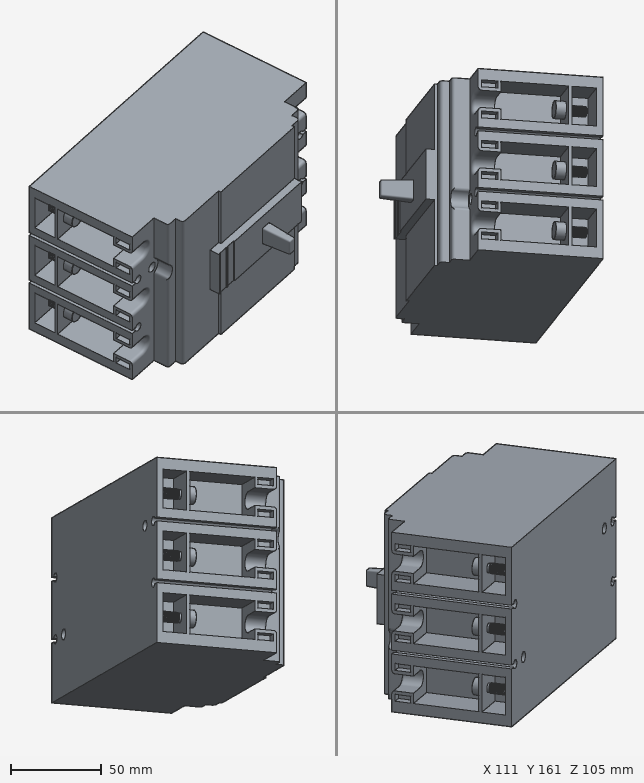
import cadquery as cq

BODY_DEPTH = 71.0
BODY_LENGTH = 161.0
BODY_WIDTH = 105.0
POLE_COUNT = 3
POLE_PITCH = BODY_WIDTH / POLE_COUNT
SIDES = (-1, 1)

LOWER_SHOULDER_TOP = 81.0
LOWER_SHOULDER_LENGTH = 121.0
LOWER_SHOULDER_FILLET = 1.6
UPPER_SHOULDER_TOP = 86.2
UPPER_SHOULDER_LENGTH = 107.6
UPPER_SHOULDER_FILLET = 2.0

STRIP_TOP = 87.8
STRIP_START = -21.0
STRIP_END = 47.0
PANEL_TOP = 92.7
PANEL_START = -29.0
PANEL_WIDTH = 29.0
NOTCH_DEPTH = 0.6
NOTCH_LENGTH = 6.1
NOTCH_STARTS = (-28.2, -21.1)

TOGGLE_TIP = 111.0
TOGGLE_Y = 14.0
TOGGLE_THICKNESS = 6.8
TOGGLE_WIDTH = 11.6
TOGGLE_TAPER = 3.0
TOGGLE_FILLET = 1.0

POCKET_DEPTH = 20.0
POCKET_WIDTH = 22.0
REAR_POCKET_START = 3.8
PLATE_BACK = 17.6
PLATE_FRONT = 19.6
FRONT_POCKET_END = 58.1

SCREW_INSET = 10.2
CHANNEL_DIAMETER = 10.0
CHANNEL_FILLET = 2.0

WINDOW_START = 59.9
WINDOW_END = 69.0
WINDOW_WIDTH = 4.0
WINDOW_DEPTH = 5.0
WINDOW_OFFSET = (POCKET_WIDTH - WINDOW_WIDTH) / 2

GROOVE_WIDTH = 2.2
KEYHOLE_DIAMETER = 5.0
KEYHOLE_INSET = 5.4
GROOVE_Z = POLE_PITCH / 2

MOUNTING_DIAMETER = 6.0
MOUNTING_INSET = 18.2
RELIEF_RADIUS = 5.5
RELIEF_FILLET = 2.0

SCREW_TIP = 7.4
THREAD_END = 16.4
THREAD_RADIUS = 3.0
ROOT_RADIUS = 2.5
SHANK_RADIUS = 2.7
THREAD_RIDGES = 10
HEAD_RADIUS = 5.0
HEAD_HEIGHT = 6.0
HEAD_CHAMFER = 0.2

PICK_MARGIN = 0.5


def block(x_range, y_range, z_range):
    """A box between two limits on each axis."""
    limits = (x_range, y_range, z_range)
    sizes = [max(pair) - min(pair) for pair in limits]
    corner = tuple(min(pair) for pair in limits)
    return cq.Workplane("XY").box(*sizes, centered=False).translate(corner)


def centred(width, middle=0.0):
    """The limits of a span of this width about a middle."""
    return (middle - width / 2, middle + width / 2)


def rod(x_range, radius, y, z):
    """A cylinder along X."""
    start, end = x_range
    return cq.Workplane("YZ", origin=(start, y, z)).circle(radius).extrude(end - start)


def inset(side, distance):
    """The Y of a point this far inside a terminal end."""
    return side * (BODY_LENGTH / 2 - distance)


def from_end(side, depth):
    """The Y limits of a cut this deep into a terminal end."""
    return (inset(side, 0), inset(side, depth))


POLE_ZS = [(index - (POLE_COUNT - 1) / 2) * POLE_PITCH for index in range(POLE_COUNT)]
FULL_WIDTH = centred(BODY_WIDTH)


def relief_cut(side, relief_z):
    """The space in front of a shoulder wall and the round relief that blends into it."""
    relief_x = (BODY_DEPTH, LOWER_SHOULDER_TOP)
    wall_y = side * LOWER_SHOULDER_LENGTH / 2
    outside = block(relief_x, (wall_y, inset(side, 0)), FULL_WIDTH)
    bore = rod(relief_x, RELIEF_RADIUS, inset(side, MOUNTING_INSET), relief_z)
    corners = cq.selectors.BoxSelector(
        (BODY_DEPTH, wall_y - PICK_MARGIN, relief_z - RELIEF_RADIUS),
        (LOWER_SHOULDER_TOP, wall_y + PICK_MARGIN, relief_z + RELIEF_RADIUS),
    )
    return outside.union(bore).edges("|X").edges(corners).fillet(RELIEF_FILLET)


def lower_shoulder():
    shoulder = block((BODY_DEPTH, LOWER_SHOULDER_TOP), centred(LOWER_SHOULDER_LENGTH), FULL_WIDTH)
    shoulder = shoulder.edges(">X and |Z").fillet(LOWER_SHOULDER_FILLET)
    for side in SIDES:
        shoulder = shoulder.cut(relief_cut(side, -side * GROOVE_Z))
    return shoulder


def upper_shoulder():
    shoulder = block((BODY_DEPTH, UPPER_SHOULDER_TOP), centred(UPPER_SHOULDER_LENGTH), FULL_WIDTH)
    return shoulder.edges(">X and |Z").fillet(UPPER_SHOULDER_FILLET)


def front_panel():
    strip = block((BODY_DEPTH, STRIP_TOP), (STRIP_START, STRIP_END), FULL_WIDTH)
    panel = block((BODY_DEPTH, PANEL_TOP), (PANEL_START, STRIP_END), centred(PANEL_WIDTH))
    for start in NOTCH_STARTS:
        panel = panel.cut(
            block((PANEL_TOP - NOTCH_DEPTH, PANEL_TOP), (start, start + NOTCH_LENGTH), centred(PANEL_WIDTH))
        )
    return strip.union(panel)


def toggle():
    lever = (
        cq.Workplane("YZ", origin=(PANEL_TOP, TOGGLE_Y, 0))
        .rect(TOGGLE_THICKNESS, TOGGLE_WIDTH)
        .extrude(TOGGLE_TIP - PANEL_TOP, taper=TOGGLE_TAPER)
    )
    return lever.edges("not <X").fillet(TOGGLE_FILLET)


def terminal_cuts(side, pole_z):
    """The two chambers, the driver channel and the windows of one terminal."""
    pocket_y = from_end(side, POCKET_DEPTH)
    pocket_z = centred(POCKET_WIDTH, pole_z)
    channel_x = (PLATE_FRONT, BODY_DEPTH)
    cuts = block((REAR_POCKET_START, PLATE_BACK), pocket_y, pocket_z)
    cuts = cuts.union(block((PLATE_FRONT, FRONT_POCKET_END), pocket_y, pocket_z))
    cuts = cuts.union(block(channel_x, from_end(side, SCREW_INSET), centred(CHANNEL_DIAMETER, pole_z)))
    cuts = cuts.union(rod(channel_x, CHANNEL_DIAMETER / 2, inset(side, SCREW_INSET), pole_z))
    for offset in (-WINDOW_OFFSET, WINDOW_OFFSET):
        window_z = centred(WINDOW_WIDTH, pole_z + offset)
        cuts = cuts.union(block((WINDOW_START, WINDOW_END), from_end(side, WINDOW_DEPTH), window_z))
    return cuts


def round_channel_mouth(body, side, pole_z):
    """Fillets the U-shaped edge where a driver channel meets the front face."""
    near, far = sorted(from_end(side, POCKET_DEPTH))
    mouth = cq.selectors.BoxSelector(
        (BODY_DEPTH - PICK_MARGIN, near, pole_z - POCKET_WIDTH / 2),
        (BODY_DEPTH + PICK_MARGIN, far, pole_z + POCKET_WIDTH / 2),
    )
    return body.edges(mouth).fillet(CHANNEL_FILLET)


def groove_cut(side, groove_z):
    slot = block((0, BODY_DEPTH), from_end(side, KEYHOLE_INSET), centred(GROOVE_WIDTH, groove_z))
    return slot.union(rod((0, BODY_DEPTH), KEYHOLE_DIAMETER / 2, inset(side, KEYHOLE_INSET), groove_z))


def make_housing():
    body = block((0, BODY_DEPTH), centred(BODY_LENGTH), FULL_WIDTH)
    for side in SIDES:
        for pole_z in POLE_ZS:
            body = body.cut(terminal_cuts(side, pole_z))
            body = round_channel_mouth(body, side, pole_z)
    for side in SIDES:
        for groove_z in (-GROOVE_Z, GROOVE_Z):
            body = body.cut(groove_cut(side, groove_z))
    body = body.union(lower_shoulder()).union(upper_shoulder()).union(front_panel()).union(toggle())
    for side in SIDES:
        hole_y = inset(side, MOUNTING_INSET)
        body = body.cut(rod((0, LOWER_SHOULDER_TOP), MOUNTING_DIAMETER / 2, hole_y, -side * GROOVE_Z))
        for pole_z in POLE_ZS:
            body = body.cut(rod((PLATE_BACK, PLATE_FRONT), SHANK_RADIUS, inset(side, SCREW_INSET), pole_z))
    return body


def make_screw(side, pole_z):
    """A screw whose head rests on the terminal plate; the thread is a row of ring-shaped ridges."""
    pitch = (THREAD_END - SCREW_TIP) / THREAD_RIDGES
    head_end = PLATE_FRONT + HEAD_HEIGHT
    outline = cq.Workplane("XY").moveTo(SCREW_TIP, 0).lineTo(SCREW_TIP, ROOT_RADIUS)
    for ridge in range(THREAD_RIDGES):
        ridge_start = SCREW_TIP + ridge * pitch
        outline = outline.lineTo(ridge_start + pitch / 2, THREAD_RADIUS)
        outline = outline.lineTo(ridge_start + pitch, ROOT_RADIUS)
    outline = (
        outline.lineTo(THREAD_END, SHANK_RADIUS)
        .lineTo(PLATE_FRONT, SHANK_RADIUS)
        .lineTo(PLATE_FRONT, HEAD_RADIUS)
        .lineTo(head_end - HEAD_CHAMFER, HEAD_RADIUS)
        .lineTo(head_end, HEAD_RADIUS - HEAD_CHAMFER)
        .lineTo(head_end, 0)
        .close()
    )
    screw = outline.revolve(360, (0, 0, 0), (1, 0, 0))
    return screw.translate((0, inset(side, SCREW_INSET), pole_z))


housing = make_housing()
screws = [make_screw(side, pole_z) for side in SIDES for pole_z in POLE_ZS]
result = cq.Compound.makeCompound([housing.val(), *[screw.val() for screw in screws]])